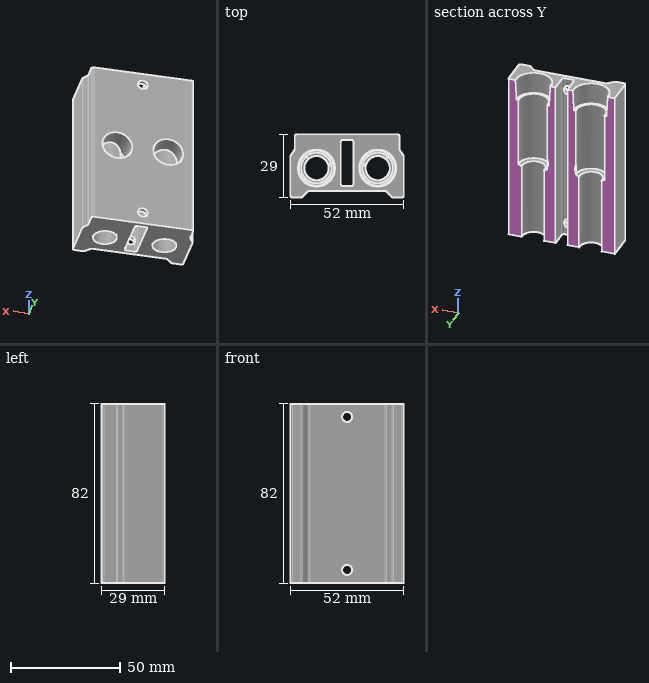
import cadquery as cq
import math

BODY_WIDTH = 52.0
BODY_DEPTH = 29.0
BODY_HEIGHT = 82.0
EDGE_RADIUS = 1.0

BACK_WIDTH = 48.0
BACK_LENGTH = 7.0
SHOULDER_LENGTH = 3.0

CHANNEL_DEPTH = 3.0
FOOT_WIDTH = 5.3

SLOT_WIDTH = 5.8
SLOT_LENGTH = 21.0
SLOT_BACK_WALL = 2.65
SLOT_CORNER_RADIUS = 1.0

BORE_PITCH = 28.0
BORE_FROM_BACK = 15.5
PORT_TOP_DIAMETER = 17.0
PORT_BOTTOM_DIAMETER = 16.0
PORT_DEPTH = 10.2
COUNTERBORE_DIAMETER = 14.0
PASSAGE_DIAMETER = 11.0
DRILL_POINT_ANGLE = 118.0

BACK_PORT_PITCH = 24.0
BACK_PORT_DIAMETER = 14.0
BACK_PORT_DEPTH = 13.5
BACK_PORT_Z = BODY_HEIGHT / 2
BACK_PORT_RISE = 2.9
COUNTERBORE_BOTTOM_Z = BACK_PORT_Z - BACK_PORT_RISE

MOUNT_HOLE_DIAMETER = 4.5
MOUNT_HOLE_PITCH = 70.0


def make_body():
    """Extrude the symmetric section; the front feet stand on Y = 0."""
    half_width = BODY_WIDTH / 2
    half_back = BACK_WIDTH / 2
    foot_inner = half_width - FOOT_WIDTH
    channel_floor = foot_inner - CHANNEL_DEPTH
    step_y = BODY_DEPTH - BACK_LENGTH
    right_side = [
        (channel_floor, CHANNEL_DEPTH),
        (foot_inner, 0),
        (half_width, 0),
        (half_width, step_y - SHOULDER_LENGTH),
        (half_back, step_y),
        (half_back, BODY_DEPTH),
    ]
    left_side = [(-x, y) for x, y in reversed(right_side)]
    section = cq.Workplane("XY").polyline(right_side + left_side).close()
    return section.extrude(BODY_HEIGHT).edges("|Z").fillet(EDGE_RADIUS)


def make_slot():
    """Rounded rectangular slot running the full height."""
    slot_y = BODY_DEPTH - SLOT_BACK_WALL - SLOT_LENGTH / 2
    slot = cq.Workplane("XY").center(0, slot_y).rect(SLOT_WIDTH, SLOT_LENGTH)
    return slot.extrude(BODY_HEIGHT).edges("|Z").fillet(SLOT_CORNER_RADIUS)


def drill_point_length(start_diameter, end_diameter=0):
    """Axial length of a drill point narrowing between two diameters."""
    half_angle = math.radians(DRILL_POINT_ANGLE / 2)
    return (start_diameter - end_diameter) / 2 / math.tan(half_angle)


def make_bore(x):
    """Tapered port at the top, a flat ledge, a counterbore and a passage to the bottom."""
    ledge_z = BODY_HEIGHT - PORT_DEPTH
    cone_bottom_z = COUNTERBORE_BOTTOM_Z - drill_point_length(COUNTERBORE_DIAMETER, PASSAGE_DIAMETER)
    half_section = [
        (0, 0),
        (PASSAGE_DIAMETER / 2, 0),
        (PASSAGE_DIAMETER / 2, cone_bottom_z),
        (COUNTERBORE_DIAMETER / 2, COUNTERBORE_BOTTOM_Z),
        (COUNTERBORE_DIAMETER / 2, ledge_z),
        (PORT_BOTTOM_DIAMETER / 2, ledge_z),
        (PORT_TOP_DIAMETER / 2, BODY_HEIGHT),
        (0, BODY_HEIGHT),
    ]
    bore = cq.Workplane("XZ").polyline(half_section).close()
    bore = bore.revolve(360, (0, 0, 0), (0, 1, 0))
    return bore.translate((x, BODY_DEPTH - BORE_FROM_BACK, 0))


def make_back_port(x):
    """Blind drilled hole from the back face, crossing the bottom of a counterbore."""
    end_y = BODY_DEPTH - BACK_PORT_DEPTH
    half_section = [
        (0, BODY_DEPTH),
        (BACK_PORT_DIAMETER / 2, BODY_DEPTH),
        (BACK_PORT_DIAMETER / 2, end_y),
        (0, end_y - drill_point_length(BACK_PORT_DIAMETER)),
    ]
    port = cq.Workplane("XY").polyline(half_section).close()
    port = port.revolve(360, (0, 0, 0), (0, 1, 0))
    return port.translate((x, 0, BACK_PORT_Z))


def make_mount_hole(z):
    """Straight hole through the full depth of the body."""
    hole = cq.Workplane("XZ").center(0, z).circle(MOUNT_HOLE_DIAMETER / 2)
    return hole.extrude(-BODY_DEPTH)


result = make_body().cut(make_slot())
for side in (-1, 1):
    result = result.cut(make_bore(side * BORE_PITCH / 2))
    result = result.cut(make_back_port(side * BACK_PORT_PITCH / 2))
    result = result.cut(make_mount_hole(BODY_HEIGHT / 2 + side * MOUNT_HOLE_PITCH / 2))